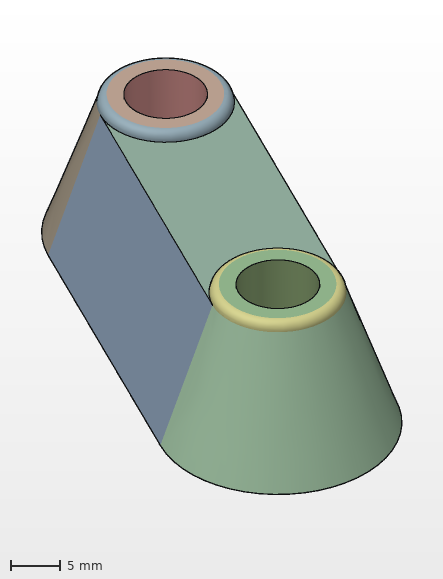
import cadquery as cq
import math

length = 60.15
width = 25.15
height = 17.2

boss_height = 1.0
body_height = height - boss_height
base_radius = width / 2
top_radius = 7.0
post_spacing = length - width

hole_diameter = 8.5

post_centers = [(-post_spacing / 2, 0), (post_spacing / 2, 0)]


def make_post():
    """Cone topped by a boss whose rim is a full quarter round, standing on the origin."""
    boss_flat_radius = top_radius - boss_height
    arc_offset = boss_height * math.sqrt(0.5)
    arc_middle = (boss_flat_radius + arc_offset, body_height + arc_offset)
    return (
        cq.Workplane("XZ")
        .lineTo(base_radius, 0)
        .lineTo(top_radius, body_height)
        .threePointArc(arc_middle, (boss_flat_radius, height))
        .lineTo(0, height)
        .close()
        .revolve(360, (0, 0, 0), (0, 1, 0))
    )


def make_bridge():
    """Trapezoidal block whose sloping sides meet both cones tangentially."""
    return (
        cq.Workplane("YZ")
        .polyline([
            (-base_radius, 0),
            (base_radius, 0),
            (top_radius, body_height),
            (-top_radius, body_height),
        ])
        .close()
        .extrude(post_spacing / 2, both=True)
    )


body = make_bridge()
for x, y in post_centers:
    body = body.union(make_post().translate((x, y, 0)))

holes = cq.Workplane("XY").pushPoints(post_centers).circle(hole_diameter / 2).extrude(height)

result = body.cut(holes)